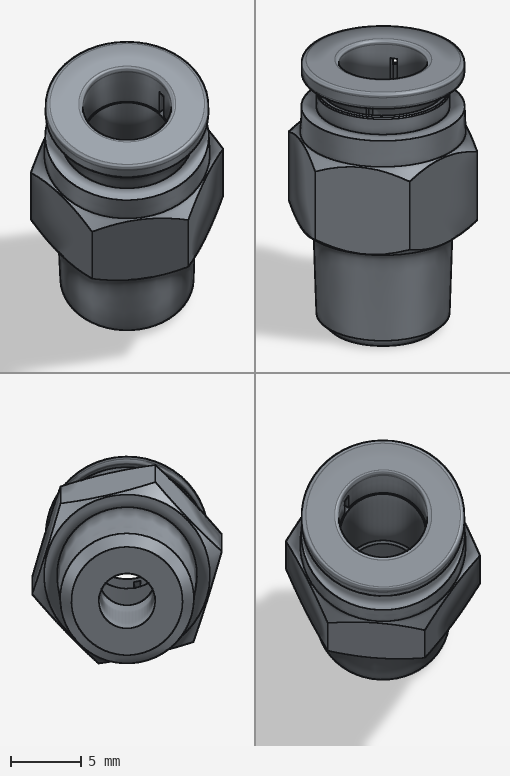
import cadquery as cq
import math


HEX_BOTTOM_Z = 8.05
HEX_TOP_Z = 15.0
SHOULDER_TOP_Z = 17.0
RING_TOP_Z = 18.3
FLANGE_BOTTOM_Z = 19.4
TOP_Z = 20.7

THREAD_TOP_RADIUS = 4.98
THREAD_TAPER = 1 / 16
THREAD_CHAMFER = 0.8

HEX_ACROSS_FLATS = 12.0
HEX_CORNER_RADIUS = HEX_ACROSS_FLATS / math.sqrt(3)
HEX_CHAMFER_HEIGHT = 0.8

SHOULDER_BASE_RADIUS = 5.9
SHOULDER_TOP_RADIUS = 5.82
RING_RADIUS = 4.75
RING_INNER_RADIUS = 4.33
RING_CHAMFER = 0.1
NECK_RADIUS = 3.95
FLANGE_RADIUS = 5.8
FLANGE_FILLET = 0.3

COLLET_BORE_RADIUS = 3.15
COLLET_RIM_FILLET = 0.3
TUBE_BORE_RADIUS = 3.05
TUBE_STOP_Z = HEX_BOTTOM_Z
FUNNEL_RADIUS = 2.8
PASSAGE_RADIUS = 2.0
FUNNEL_DEPTH = FUNNEL_RADIUS - PASSAGE_RADIUS

SLOT_WIDTH = 0.5
SLOT_TOP_Z = 19.3


def cylinder(radius, bottom_z, top_z):
    return cq.Workplane("XY").workplane(offset=bottom_z).circle(radius).extrude(top_z - bottom_z)


def revolve_profile(points):
    """Turn a closed outline of (radius, height) points about the Z axis."""
    return cq.Workplane("XZ").polyline(points).close().revolve(360, (0, 0), (0, 1))


def make_thread():
    radius_loss = (HEX_BOTTOM_Z - THREAD_CHAMFER) * THREAD_TAPER / 2
    thread_end_radius = THREAD_TOP_RADIUS - radius_loss
    return revolve_profile([
        (0, 0),
        (thread_end_radius - THREAD_CHAMFER, 0),
        (thread_end_radius, THREAD_CHAMFER),
        (THREAD_TOP_RADIUS, HEX_BOTTOM_Z),
        (0, HEX_BOTTOM_Z),
    ])


def make_hexagon():
    """Hexagon with two corners on the X axis; its chamfers start at the shoulder's base radius."""
    prism = (
        cq.Workplane("XY")
        .workplane(offset=HEX_BOTTOM_Z)
        .polygon(6, 2 * HEX_CORNER_RADIUS)
        .extrude(HEX_TOP_Z - HEX_BOTTOM_Z)
    )
    chamfer_envelope = revolve_profile([
        (0, HEX_BOTTOM_Z),
        (SHOULDER_BASE_RADIUS, HEX_BOTTOM_Z),
        (HEX_CORNER_RADIUS, HEX_BOTTOM_Z + HEX_CHAMFER_HEIGHT),
        (HEX_CORNER_RADIUS, HEX_TOP_Z - HEX_CHAMFER_HEIGHT),
        (SHOULDER_BASE_RADIUS, HEX_TOP_Z),
        (0, HEX_TOP_Z),
    ])
    return prism.intersect(chamfer_envelope)


def make_shoulder():
    return revolve_profile([
        (0, HEX_TOP_Z),
        (SHOULDER_BASE_RADIUS, HEX_TOP_Z),
        (SHOULDER_TOP_RADIUS, SHOULDER_TOP_Z),
        (0, SHOULDER_TOP_Z),
    ])


def make_guide_ring():
    """Ring that stands around the collet with an open annular gap."""
    outer = cylinder(RING_RADIUS, SHOULDER_TOP_Z, RING_TOP_Z).faces(">Z").edges().chamfer(RING_CHAMFER)
    return outer.cut(cylinder(RING_INNER_RADIUS, SHOULDER_TOP_Z, RING_TOP_Z))


def make_collet():
    neck = cylinder(NECK_RADIUS, SHOULDER_TOP_Z, FLANGE_BOTTOM_Z)
    flange = cylinder(FLANGE_RADIUS, FLANGE_BOTTOM_Z, TOP_Z).edges("%CIRCLE").fillet(FLANGE_FILLET)
    return neck.union(flange)


def cut_bore(body):
    """Stepped bore: collet, tube socket, 45 degree funnel and through passage."""
    passage = cylinder(PASSAGE_RADIUS, 0, TUBE_STOP_Z)
    funnel = revolve_profile([
        (0, TUBE_STOP_Z - FUNNEL_DEPTH),
        (PASSAGE_RADIUS, TUBE_STOP_Z - FUNNEL_DEPTH),
        (FUNNEL_RADIUS, TUBE_STOP_Z),
        (0, TUBE_STOP_Z),
    ])
    tube_socket = cylinder(TUBE_BORE_RADIUS, TUBE_STOP_Z, SHOULDER_TOP_Z)
    collet_bore = cylinder(COLLET_BORE_RADIUS, SHOULDER_TOP_Z, TOP_Z)
    bored = body.cut(passage).cut(funnel).cut(tube_socket).cut(collet_bore)
    bore_rim = bored.faces(">Z").edges(cq.selectors.RadiusNthSelector(0))
    return bore_rim.fillet(COLLET_RIM_FILLET)


def cut_collet_slot(body):
    """Slot across the collet wall, from inside the guide ring up to just below the flange."""
    slot = (
        cq.Workplane("XY")
        .workplane(offset=SHOULDER_TOP_Z)
        .rect(SLOT_WIDTH, 2 * NECK_RADIUS)
        .extrude(SLOT_TOP_Z - SHOULDER_TOP_Z)
    )
    return body.cut(slot)


fitting = make_thread().union(make_hexagon()).union(make_shoulder())
fitting = fitting.union(make_guide_ring()).union(make_collet())
fitting = cut_bore(fitting)
result = cut_collet_slot(fitting)